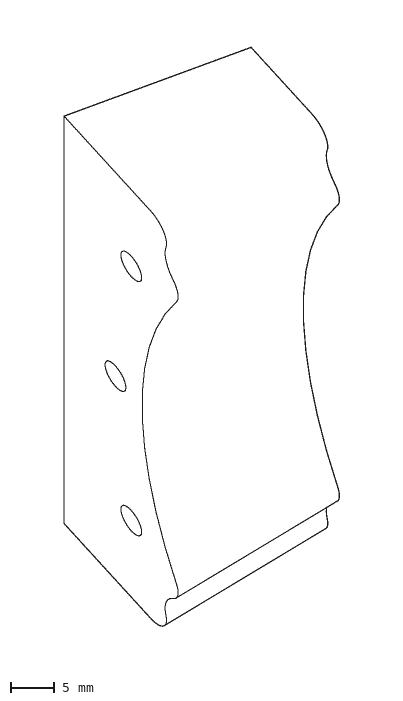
import cadquery as cq
import math

width = 22.0
depth = 23.0
height = 80.0
back_inset = 5.0
waist_x = 15.0
corner_radius = 3.0
nose_radius = 3.0
notch_radius = 5.0
corner_center_x = 16.7
hole_diameter = 4.0
middle_hole_x = 9.9
outer_hole_x = 13.0
outer_hole_z = 25.0
half_height = height / 2

notch_drop = 2.1
corner_center = (corner_center_x, half_height - corner_radius)
corner_to_notch = corner_radius + notch_radius
notch_center = (
    corner_center[0] + math.sqrt(corner_to_notch**2 - notch_drop**2),
    corner_center[1] - notch_drop,
)
nose_center_x = width - nose_radius
notch_to_nose = notch_radius + nose_radius
nose_center = (
    nose_center_x,
    notch_center[1] - math.sqrt(notch_to_nose**2 - (notch_center[0] - nose_center_x) ** 2),
)

nose_offset = nose_center_x - waist_x
hollow_radius = (nose_offset**2 + nose_center[1] ** 2 - nose_radius**2) / (2 * (nose_radius + nose_offset))
hollow_center = (waist_x + hollow_radius, 0)


def toward(start, target, distance):
    """Point at the given distance from start in the direction of target."""
    ratio = distance / math.dist(start, target)
    return (
        start[0] + ratio * (target[0] - start[0]),
        start[1] + ratio * (target[1] - start[1]),
    )


def arc_middle(center, radius, first, last):
    """Middle point of the short arc between two points on a circle."""
    chord_middle = ((first[0] + last[0]) / 2, (first[1] + last[1]) / 2)
    return toward(center, chord_middle, radius)


def mirrored(point):
    """Matching point in the lower half."""
    return (point[0], -point[1])


corner_start = (corner_center_x, half_height)
corner_end = toward(corner_center, notch_center, corner_radius)
notch_end = toward(notch_center, nose_center, notch_radius)
nose_end = toward(nose_center, hollow_center, nose_radius)

corner_middle = arc_middle(corner_center, corner_radius, corner_start, corner_end)
notch_middle = arc_middle(notch_center, notch_radius, corner_end, notch_end)
nose_middle = arc_middle(nose_center, nose_radius, notch_end, nose_end)

block = (
    cq.Workplane("XZ")
    .moveTo(0, -half_height)
    .lineTo(0, half_height)
    .lineTo(*corner_start)
    .threePointArc(corner_middle, corner_end)
    .threePointArc(notch_middle, notch_end)
    .threePointArc(nose_middle, nose_end)
    .threePointArc((waist_x, 0), mirrored(nose_end))
    .threePointArc(mirrored(nose_middle), mirrored(notch_end))
    .threePointArc(mirrored(notch_middle), mirrored(corner_end))
    .threePointArc(mirrored(corner_middle), mirrored(corner_start))
    .close()
    .extrude(-depth)
)

wedge = (
    cq.Workplane("XY")
    .workplane(offset=-half_height)
    .polyline([(0, 0), (back_inset, depth), (0, depth)])
    .close()
    .extrude(height)
)

hole_places = [
    (outer_hole_x, outer_hole_z),
    (middle_hole_x, 0),
    (outer_hole_x, -outer_hole_z),
]
holes = cq.Workplane("XZ").pushPoints(hole_places).circle(hole_diameter / 2).extrude(-depth)

result = block.cut(wedge).cut(holes)